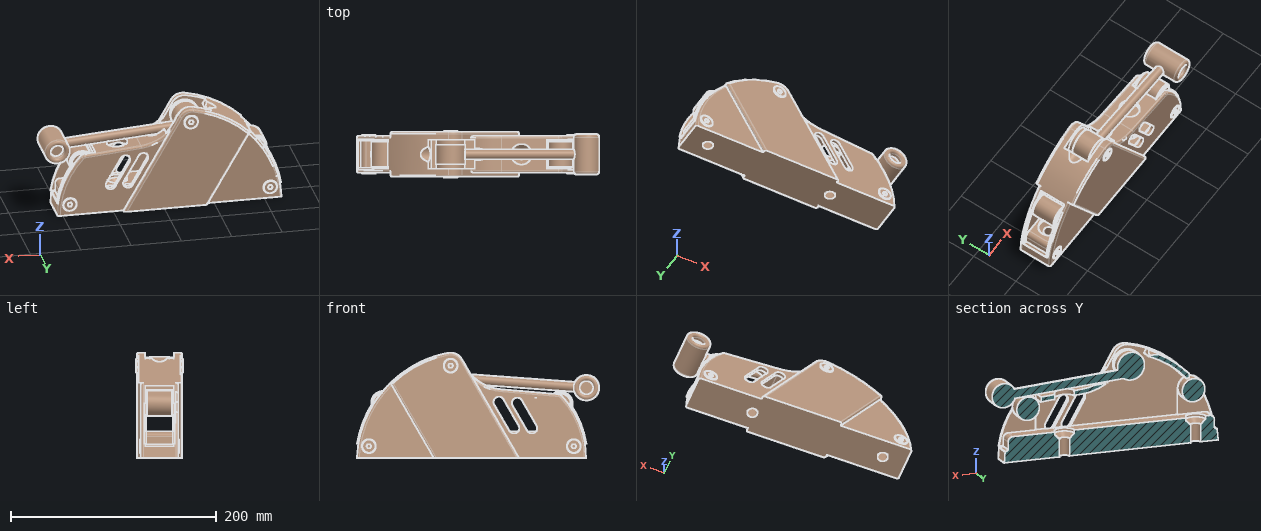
import cadquery as cq
import math

BASE_LENGTH = 222.8
PIVOT = (91.2, 89.7)
TIP_RADIUS = 12.7
TIP_START_TILT = math.radians(10.7)
SLOPE = math.radians(60)
VALLEY_X = 111.0
ROOF_START = (140.2, 67.0)
ROOF_END = (197.6, 62.0)
REAR_ARC_MID = (210.0, 45.7)
ROOF_CORNER_RADIUS = 4.7

BASE_HALF = 18.1
COVER_HALF = 44.0 / 2
CAVITY_HALF = 14.0
ROLLER_HALF = 12.5
LINER_INNER, LINER_OUTER = 13.0, 14.8
CAM_HALF = 9.5
KNOB_HALF = 19.8
BASE_ROUNDING = 2.1
COVER_ROUNDING = 2.0

COVER_FRONT_FOOT = 75.0

ROOF_THICKNESS = 5.5
SILL_HEIGHT = 11.3
SILL_EDGE = 1.5
FLOOR_HEIGHT = 26.1
FLOOR_INSET = 4.0
SILL_RISE = 2.0
FLOOR_ROUNDING = 5.0
FRONT_WINDOW_END = 30.2
REAR_WINDOW_START = 184.7
CAM_SLOT_FRONT_RIM = (69.7, 96.3)
CAM_SLOT_END = 114.5
CAM_SLOT_BOTTOM = 66.0
MOUNT_DIAMETER = 20.0
MOUNT_HOLE_DIAMETER = 10.1
MOUNT_BORE_DEPTH = 3.0
FRONT_MOUNT_X, REAR_MOUNT_X = 23.5, 160.0

LINER_BOTTOM, LINER_TOP = 13.7, 53.0
LINER_PROUD = 1.5
LINER_LENGTH = 37.7

FRONT_ROLLER = (26.0, 53.2)
REAR_ROLLER = (197.9, 52.5)
ROLLER_DIAMETER = 24.0
ROLLER_HUB_DIAMETER = 20.0
ROLLER_CHAMFER = 0.5
ROLLER_CLEARANCE = 2.0

WINDOW_WIDTH = 10.1
WINDOW_LOWER_Z = 29.0
WINDOW_TOPS = ((138.0, 54.5), (156.0, 53.5))

CAM_CENTER = (91.0, 84.3)
CAM_DIAMETER, CAM_END_DIAMETER = 28.5, 27.5
KNOB_CENTER = (223.0, 68.3)
KNOB_DIAMETER = 25.0
KNOB_BORE_DIAMETER = 13.0
KNOB_BORE_DEPTH = 7.0
ROD_DIAMETER = 10.0
ROD_TILT = math.radians(4.2)
ROD_GROOVE_DIAMETER = 12.0
NOTCH_DIAMETER = 20.0
NOTCH_BOTTOM = 93.5

HEAD_DIAMETER = 13.7
HEAD_HEIGHT = 0.82
HEAD_CHAMFER = 0.5
SOCKET_SIDES = 6
SOCKET_WIDTH = 4.7
SOCKET_DEPTH = 0.7
FOOT_SCREWS = ((11.8, 11.5), (210.8, 11.5))

TIP_START = (
    PIVOT[0] - TIP_RADIUS * math.sin(TIP_START_TILT),
    PIVOT[1] + TIP_RADIUS * math.cos(TIP_START_TILT),
)
TIP_END = (
    PIVOT[0] + TIP_RADIUS * math.sin(SLOPE),
    PIVOT[1] + TIP_RADIUS * math.cos(SLOPE),
)
TIP_TOP = (PIVOT[0], PIVOT[1] + TIP_RADIUS)
FRONT_ARC_RADIUS = (TIP_START[0] ** 2 + TIP_START[1] ** 2) / (
    2 * (TIP_START[1] * math.cos(TIP_START_TILT) - TIP_START[0] * math.sin(TIP_START_TILT))
)
VALLEY = (VALLEY_X, TIP_END[1] - (VALLEY_X - TIP_END[0]) * math.tan(SLOPE))
COVER_REAR_FOOT = TIP_END[0] + TIP_END[1] / math.tan(SLOPE)

BEFORE_FRONT = -2.4
BEYOND_REAR = BASE_LENGTH + 2.4
ABOVE_TOP = TIP_TOP[1] + 2.4


def plate(profile, half_width):
    """Extrude an XZ profile equally to both sides of the middle plane."""
    return profile.extrude(half_width, both=True)


def disc(center, diameter, half_width):
    return plate(cq.Workplane("XZ").center(*center).circle(diameter / 2), half_width)


def block(x_range, z_range, half_width):
    return plate(
        cq.Workplane("XZ")
        .moveTo(x_range[0], z_range[0])
        .lineTo(x_range[1], z_range[0])
        .lineTo(x_range[1], z_range[1])
        .lineTo(x_range[0], z_range[1])
        .close(),
        half_width,
    )


def base_profile():
    return (
        cq.Workplane("XZ")
        .moveTo(BASE_LENGTH, 0)
        .threePointArc(REAR_ARC_MID, ROOF_END)
        .lineTo(*ROOF_START)
        .tangentArcPoint(VALLEY, relative=False)
        .lineTo(*TIP_END)
        .threePointArc(TIP_TOP, TIP_START)
        .radiusArc((0, 0), -FRONT_ARC_RADIUS)
        .close()
    )


def cam_slot():
    """Opening around the cam; its front end slopes inwards on the way down."""
    rim_x, rim_z = CAM_SLOT_FRONT_RIM

    def front_x(z):
        return rim_x + (rim_z - z) / math.tan(SLOPE)

    profile = (
        cq.Workplane("XZ")
        .moveTo(front_x(CAM_SLOT_BOTTOM), CAM_SLOT_BOTTOM)
        .lineTo(CAM_SLOT_END, CAM_SLOT_BOTTOM)
        .lineTo(CAM_SLOT_END, ABOVE_TOP)
        .lineTo(front_x(ABOVE_TOP), ABOVE_TOP)
        .close()
    )
    return plate(profile, CAVITY_HALF)


def cavity():
    """Inside of the housing: the base profile shrunk by the roof thickness, plus its openings."""
    inside = plate(base_profile().offset2D(-ROOF_THICKNESS), CAVITY_HALF)
    inside = inside.union(block((BEFORE_FRONT, FRONT_WINDOW_END), (SILL_HEIGHT, ABOVE_TOP), CAVITY_HALF))
    inside = inside.union(
        block((REAR_WINDOW_START, BEYOND_REAR), (SILL_HEIGHT, ABOVE_TOP), CAVITY_HALF)
    )
    inside = inside.union(cam_slot())
    for roller in (FRONT_ROLLER, REAR_ROLLER):
        clearance = ROLLER_DIAMETER + 2 * ROLLER_CLEARANCE
        inside = inside.union(disc(roller, clearance, CAVITY_HALF))
    return inside.intersect(block((BEFORE_FRONT, BEYOND_REAR), (SILL_HEIGHT, ABOVE_TOP), CAVITY_HALF))


def rod(diameter):
    """Cylinder along the lever axis, from the middle of the knob into the cam."""
    direction = (-math.cos(ROD_TILT), 0, math.sin(ROD_TILT))
    plane = cq.Plane((KNOB_CENTER[0], 0, KNOB_CENTER[1]), (0, 1, 0), direction)
    return cq.Workplane(plane).circle(diameter / 2).extrude(KNOB_CENTER[0] - CAM_CENTER[0])


def notch():
    """Round trough along X in the front edge of the cam slot."""
    axis_z = NOTCH_BOTTOM + NOTCH_DIAMETER / 2
    return cq.Workplane("YZ").center(0, axis_z).circle(NOTCH_DIAMETER / 2).extrude(PIVOT[0])


def base():
    body = plate(base_profile(), BASE_HALF)
    corner = cq.selectors.NearestToPointSelector((ROOF_END[0], 0, ROOF_END[1]))
    body = body.edges("|Y").edges(corner).fillet(ROOF_CORNER_RADIUS)
    return body.faces("|Y").edges("not (<Z)").fillet(BASE_ROUNDING)


def cover():
    profile = (
        cq.Workplane("XZ")
        .moveTo(COVER_FRONT_FOOT, 0)
        .lineTo(COVER_REAR_FOOT, 0)
        .lineTo(*TIP_END)
        .threePointArc(TIP_TOP, TIP_START)
        .radiusArc(front_edge_crossing(), -FRONT_ARC_RADIUS)
        .close()
    )
    return plate(profile, COVER_HALF).faces("|Y").edges("not (<Z)").fillet(COVER_ROUNDING)


def front_edge_crossing():
    """Point where the cover's front edge meets the front arc."""
    center_x = TIP_START[0] + FRONT_ARC_RADIUS * math.sin(TIP_START_TILT)
    center_z = TIP_START[1] - FRONT_ARC_RADIUS * math.cos(TIP_START_TILT)
    across = COVER_FRONT_FOOT - center_x
    along = across * math.cos(SLOPE) + center_z * math.sin(SLOPE)
    reach = along + math.sqrt(along ** 2 - across ** 2 - center_z ** 2 + FRONT_ARC_RADIUS ** 2)
    return (COVER_FRONT_FOOT - reach * math.cos(SLOPE), reach * math.sin(SLOPE))


def floor():
    """Floor slab with rounded upper ends, and a sloping sill in front of each end."""
    ends = (FLOOR_INSET, BASE_LENGTH - FLOOR_INSET)
    slab = block(ends, (0, FLOOR_HEIGHT), CAVITY_HALF)
    slab = slab.faces(">Z").edges("|Y").fillet(FLOOR_ROUNDING)
    sills = plate(
        cq.Workplane("XZ")
        .moveTo(SILL_EDGE, SILL_HEIGHT)
        .lineTo(ends[0], SILL_HEIGHT + SILL_RISE)
        .lineTo(ends[1], SILL_HEIGHT + SILL_RISE)
        .lineTo(BASE_LENGTH - SILL_EDGE, SILL_HEIGHT)
        .close(),
        CAVITY_HALF,
    )
    return slab.union(sills)


def liners():
    outline = plate(base_profile().offset2D(LINER_PROUD), LINER_OUTER)
    band = outline.intersect(
        block((BEFORE_FRONT, BEYOND_REAR), (LINER_BOTTOM, LINER_TOP), LINER_OUTER)
    )
    band = band.cut(block((LINER_LENGTH, BASE_LENGTH - LINER_LENGTH), (0, LINER_TOP), LINER_OUTER))
    return band.cut(block((BEFORE_FRONT, BEYOND_REAR), (0, LINER_TOP), LINER_INNER))


def roller(center):
    drum = disc(center, ROLLER_DIAMETER, ROLLER_HALF)
    drum = drum.faces("<Y or >Y").edges().chamfer(ROLLER_CHAMFER)
    return drum.union(disc(center, ROLLER_HUB_DIAMETER, CAVITY_HALF))


def mount_hole(x):
    """Counterbored and countersunk screw hole through the floor."""
    bore = MOUNT_DIAMETER / 2
    hole = MOUNT_HOLE_DIAMETER / 2
    seat = FLOOR_HEIGHT - MOUNT_BORE_DEPTH
    profile = (
        cq.Workplane("XZ")
        .lineTo(hole, 0)
        .lineTo(hole, seat - (bore - hole))
        .lineTo(bore, seat)
        .lineTo(bore, FLOOR_HEIGHT)
        .lineTo(0, FLOOR_HEIGHT)
        .close()
    )
    return profile.revolve(360, (0, 0), (0, 1)).translate((x, 0, 0))


def roof_hole(x):
    """Access hole in the roof, above a screw hole."""
    plane = cq.Workplane("XY", origin=(x, 0, FLOOR_HEIGHT))
    return plane.circle(MOUNT_DIAMETER / 2).extrude(PIVOT[1])


def side_window(top):
    run = (top[1] - WINDOW_LOWER_Z) / math.tan(SLOPE)
    middle = (top[0] + run / 2, (top[1] + WINDOW_LOWER_Z) / 2)
    length = math.hypot(run, top[1] - WINDOW_LOWER_Z) + WINDOW_WIDTH
    return plate(
        cq.Workplane("XZ").center(*middle).slot2D(length, WINDOW_WIDTH, -math.degrees(SLOPE)),
        COVER_HALF,
    )


def knob():
    """Cross handle with a blind bore in each end and fully rounded rims."""
    outer = KNOB_DIAMETER / 2
    bore = KNOB_BORE_DIAMETER / 2
    rim_radius = (outer - bore) / 2
    rim_start = KNOB_HALF - rim_radius
    bore_floor = KNOB_HALF - KNOB_BORE_DEPTH
    profile = (
        cq.Workplane("XY")
        .moveTo(0, -bore_floor)
        .lineTo(bore, -bore_floor)
        .lineTo(bore, -rim_start)
        .threePointArc((bore + rim_radius, -KNOB_HALF), (outer, -rim_start))
        .lineTo(outer, rim_start)
        .threePointArc((bore + rim_radius, KNOB_HALF), (bore, rim_start))
        .lineTo(bore, bore_floor)
        .lineTo(0, bore_floor)
        .close()
    )
    return profile.revolve(360, (0, 0), (0, 1)).translate((KNOB_CENTER[0], 0, KNOB_CENTER[1]))


def lever():
    cam = disc(CAM_CENTER, CAM_DIAMETER, CAM_HALF)
    cam = cam.union(disc(CAM_CENTER, CAM_END_DIAMETER, CAVITY_HALF))
    return cam.union(rod(ROD_DIAMETER)).union(knob())


def screw_heads(center, seat):
    """Screw heads for both outer faces, seated at +/- seat along Y, and their hexagon sockets."""
    heads = disc(center, HEAD_DIAMETER, seat + HEAD_HEIGHT)
    heads = heads.faces("<Y or >Y").edges().chamfer(HEAD_CHAMFER)
    heads = heads.cut(disc(center, HEAD_DIAMETER, CAVITY_HALF))
    sockets = plate(
        cq.Workplane("XZ").center(*center).polygon(SOCKET_SIDES, SOCKET_WIDTH), seat + HEAD_HEIGHT
    )
    return heads, sockets.cut(disc(center, HEAD_DIAMETER, seat + HEAD_HEIGHT - SOCKET_DEPTH))


housing = base().union(cover()).cut(cavity())
housing = housing.cut(notch()).cut(rod(ROD_GROOVE_DIAMETER))
for window_top in WINDOW_TOPS:
    housing = housing.cut(side_window(window_top))
housing = housing.cut(roof_hole(REAR_MOUNT_X))
housing = housing.union(floor()).union(liners())
for mount_x in (FRONT_MOUNT_X, REAR_MOUNT_X):
    housing = housing.cut(mount_hole(mount_x))

result = housing.union(roller(FRONT_ROLLER)).union(roller(REAR_ROLLER)).union(lever())
screws = [(PIVOT, COVER_HALF)] + [(screw, BASE_HALF) for screw in FOOT_SCREWS]
for screw, seat in screws:
    heads, sockets = screw_heads(screw, seat)
    result = result.union(heads).cut(sockets)